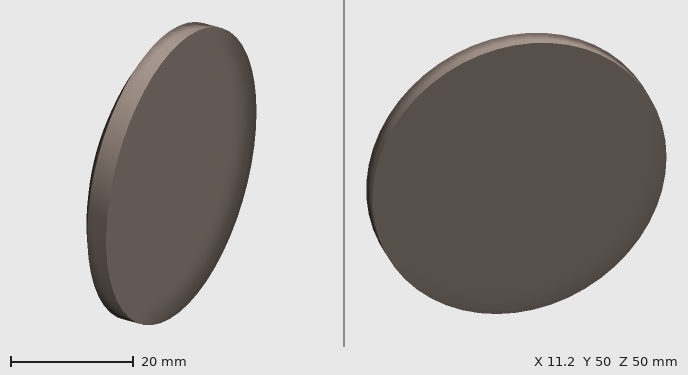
import cadquery as cq

diameter = 50.0
thickness = 11.15
rim_thickness = 3.5

radius = diameter / 2
dome_height = thickness - rim_thickness
sphere_radius = (radius**2 + dome_height**2) / (2 * dome_height)
mid_x = dome_height / 2
mid_y = (sphere_radius**2 - (sphere_radius - mid_x) ** 2) ** 0.5

half_profile = (
    cq.Workplane("XY")
    .threePointArc((mid_x, mid_y), (dome_height, radius))
    .lineTo(thickness, radius)
    .lineTo(thickness, 0)
    .close()
)
result = half_profile.revolve(360, (0, 0, 0), (1, 0, 0))